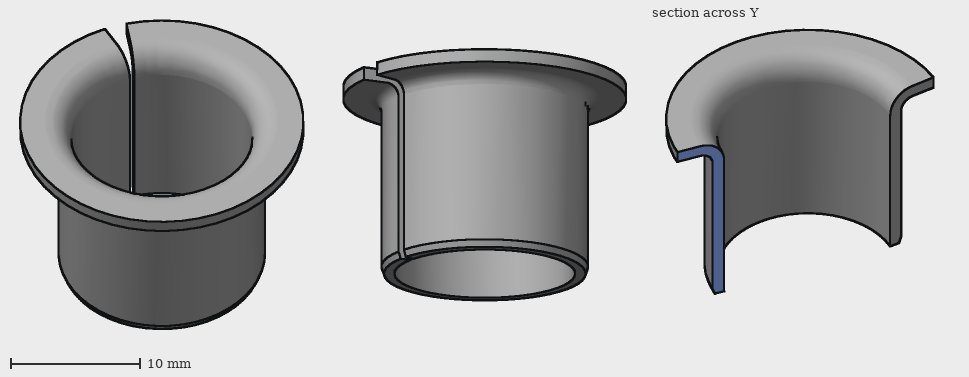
import cadquery as cq
import math

flange_radius = 10.95
height = 15.0
wall = 1.0
outer_radius = 8.0
bore_radius = outer_radius - wall
outer_bend = wall
inner_bend = outer_bend + wall
chamfer_height = 0.55
chamfer_angle = 20.0
slot_half_width = 0.88
slot_half_angle = 10.0

DIAGONAL = math.sqrt(0.5)


def bush_body():
    """Revolve the constant-thickness wall with its curved flange."""
    bend_x = outer_radius + outer_bend
    bend_z = height - inner_bend
    chamfer_inset = chamfer_height * math.tan(math.radians(chamfer_angle))

    def bend_middle(radius):
        return (bend_x - radius * DIAGONAL, bend_z + radius * DIAGONAL)

    profile = (
        cq.Workplane("XZ")
        .moveTo(bore_radius, 0)
        .lineTo(outer_radius - chamfer_inset, 0)
        .lineTo(outer_radius, chamfer_height)
        .lineTo(outer_radius, bend_z)
        .threePointArc(bend_middle(outer_bend), (bend_x, height - wall))
        .lineTo(flange_radius, height - wall)
        .lineTo(flange_radius, height)
        .lineTo(bend_x, height)
        .threePointArc(bend_middle(inner_bend), (bore_radius, bend_z))
        .close()
    )
    body = profile.revolve(360, (0, 0, 0), (0, 1, 0))
    return body.rotate((0, 0, 0), (0, 0, 1), 180)


def slot_cutter():
    """Wedge on the -X side, open outward and running the full height."""
    slope = math.tan(math.radians(slot_half_angle))
    rim_x = -math.sqrt(flange_radius**2 - slot_half_width**2)
    tip_x = rim_x + slot_half_width / slope
    mouth_x = -1.1 * flange_radius
    mouth_half_width = (tip_x - mouth_x) * slope
    return (
        cq.Workplane("XY")
        .polyline([(tip_x, 0), (mouth_x, mouth_half_width), (mouth_x, -mouth_half_width)])
        .close()
        .extrude(height)
    )


result = bush_body().cut(slot_cutter())